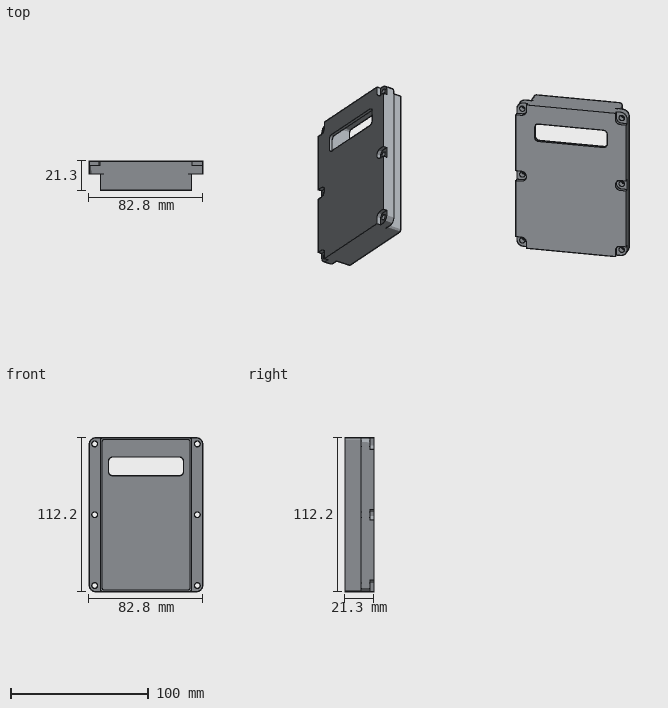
import cadquery as cq

WIDTH = 82.8
HEIGHT = 112.2
DEPTH = 21.34
BACK_Y = DEPTH / 2
FRONT_Y = -DEPTH / 2

FLANGE_THICKNESS = 9.525
FLANGE_CORNER_RADIUS = 5.1
FLANGE_OVERHANG = 8.2

BOX_WIDTH = WIDTH - 2 * FLANGE_OVERHANG
BOX_CORNER_RADIUS = 2.2
WALL = 1.27
CAVITY_CORNER_RADIUS = 1.8
BACK_THICKNESS = 2.54

WINDOW_WIDTH = 54.4
WINDOW_HEIGHT = 13.5
WINDOW_CORNER_RADIUS = 3.0
WINDOW_TOP_INSET = 14.2

HOLE_DIAMETER = 4.0
HOLE_SIDE_INSET = FLANGE_OVERHANG / 2
HOLE_END_INSET = 4.6
RECESS_RADIUS = 3.9
RECESS_DEPTH = 3.175


def block(width, height, front_y, back_y, center_x=0, center_z=0):
    """Box between two Y planes, centred at the given X and Z."""
    size_y = back_y - front_y
    center = (center_x, (front_y + back_y) / 2, center_z)
    return cq.Workplane("XY").box(width, size_y, height).translate(center)


def rounded_block(width, height, front_y, back_y, radius, center_z=0):
    """Block whose four edges along Y are rounded."""
    return block(width, height, front_y, back_y, 0, center_z).edges("|Y").fillet(radius)


def cylinder(x, z, radius, front_y, back_y):
    """Cylinder along Y between two Y planes."""
    start = cq.Vector(x, front_y, z)
    return cq.Workplane(cq.Solid.makeCylinder(radius, back_y - front_y, start, cq.Vector(0, 1, 0)))


def make_body():
    flange_front = BACK_Y - FLANGE_THICKNESS
    flange = rounded_block(WIDTH, HEIGHT, flange_front, BACK_Y, FLANGE_CORNER_RADIUS)
    box = rounded_block(BOX_WIDTH, HEIGHT, FRONT_Y, BACK_Y - BACK_THICKNESS, BOX_CORNER_RADIUS)
    return flange.union(box)


def make_cavity():
    return rounded_block(
        BOX_WIDTH - 2 * WALL,
        HEIGHT - 2 * WALL,
        FRONT_Y,
        BACK_Y - BACK_THICKNESS,
        CAVITY_CORNER_RADIUS,
    )


def make_window():
    center_z = HEIGHT / 2 - WINDOW_TOP_INSET - WINDOW_HEIGHT / 2
    return rounded_block(WINDOW_WIDTH, WINDOW_HEIGHT, FRONT_Y, BACK_Y, WINDOW_CORNER_RADIUS, center_z)


def make_screw_cut(side, end):
    """Hole and screw-head recess; side is -1 or 1, end is -1, 0 (middle) or 1."""
    x = side * (WIDTH / 2 - HOLE_SIDE_INSET)
    z = end * (HEIGHT / 2 - HOLE_END_INSET)
    recess_front = BACK_Y - RECESS_DEPTH
    hole = cylinder(x, z, HOLE_DIAMETER / 2, FRONT_Y, BACK_Y)
    recess = cylinder(x, z, RECESS_RADIUS, recess_front, BACK_Y)

    side_center = side * (WIDTH - HOLE_SIDE_INSET) / 2
    side_mouth = block(HOLE_SIDE_INSET, 2 * RECESS_RADIUS, recess_front, BACK_Y, side_center, z)
    cut = hole.union(recess).union(side_mouth)
    if end == 0:
        return cut

    mouth_width = HOLE_SIDE_INSET + RECESS_RADIUS
    mouth_x = side * (WIDTH - mouth_width) / 2
    mouth_z = end * (HEIGHT - HOLE_END_INSET) / 2
    end_mouth = block(mouth_width, HOLE_END_INSET, recess_front, BACK_Y, mouth_x, mouth_z)
    return cut.union(end_mouth)


result = make_body().cut(make_cavity()).cut(make_window())
for side in (-1, 1):
    for end in (-1, 0, 1):
        result = result.cut(make_screw_cut(side, end))